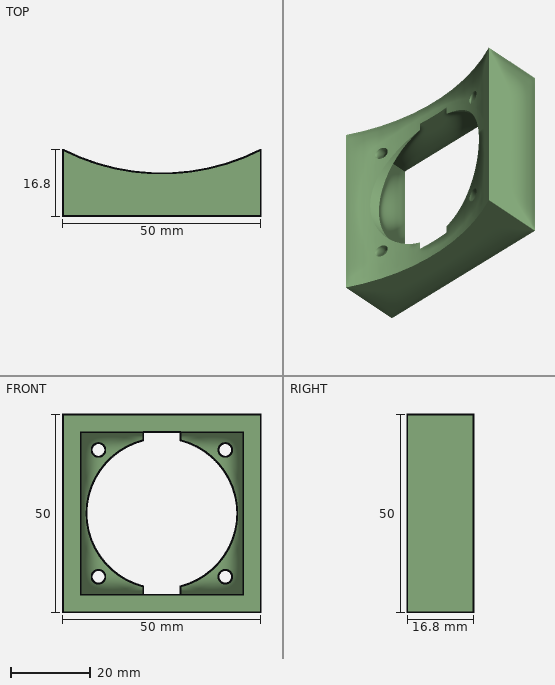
import cadquery as cq

side = 50.0
wall = 4.5
opening = side - 2 * wall

middle_depth = 10.8
saddle_radius = 55.0
saddle_axis_y = middle_depth + saddle_radius

pocket_depth = 11.0
bore_diameter = 38.0
hole_diameter = 3.4
hole_spacing = 32.0


def block():
    return cq.Workplane("XY").box(side, saddle_axis_y, side, centered=(True, False, True))


def saddle():
    return (
        cq.Workplane("XY", origin=(0, saddle_axis_y, -side / 2))
        .circle(saddle_radius)
        .extrude(side)
    )


def pocket():
    return cq.Workplane("XY").box(opening, pocket_depth, opening, centered=(True, False, True))


def front_plane():
    return cq.Workplane("XZ")


def bore():
    return front_plane().circle(bore_diameter / 2).extrude(-saddle_axis_y)


def screw_holes():
    return (
        front_plane()
        .rect(hole_spacing, hole_spacing, forConstruction=True)
        .vertices()
        .circle(hole_diameter / 2)
        .extrude(-saddle_axis_y)
    )


result = block().cut(saddle()).cut(pocket()).cut(bore()).cut(screw_holes())